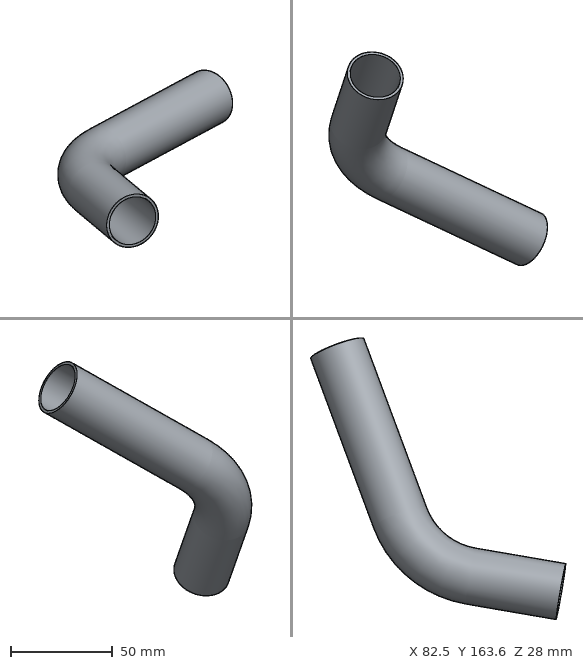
import cadquery as cq
import math

overall_length = 163.6
outer_diameter = 28.0
inner_diameter = 25.0
bend_radius = 45.0
bend_angle = 60.0
short_leg = 45.0

turn = math.radians(bend_angle)
sin_turn = math.sin(turn)
cos_turn = math.cos(turn)
tilted_end_reach = outer_diameter / 2 * sin_turn
long_leg = overall_length - bend_radius * sin_turn - short_leg * cos_turn - tilted_end_reach


def point_on_bend(angle):
    """Centreline point after turning by the given angle in radians."""
    return (bend_radius * (1 - math.cos(angle)), -bend_radius * math.sin(angle))


bend_end = point_on_bend(turn)
short_leg_end = (bend_end[0] + short_leg * sin_turn, bend_end[1] - short_leg * cos_turn)
centreline = (
    cq.Workplane("XY")
    .moveTo(0, long_leg)
    .lineTo(0, 0)
    .threePointArc(point_on_bend(turn / 2), bend_end)
    .lineTo(*short_leg_end)
)

result = (
    cq.Workplane("XZ", origin=(0, long_leg, 0))
    .circle(outer_diameter / 2)
    .circle(inner_diameter / 2)
    .sweep(centreline)
)